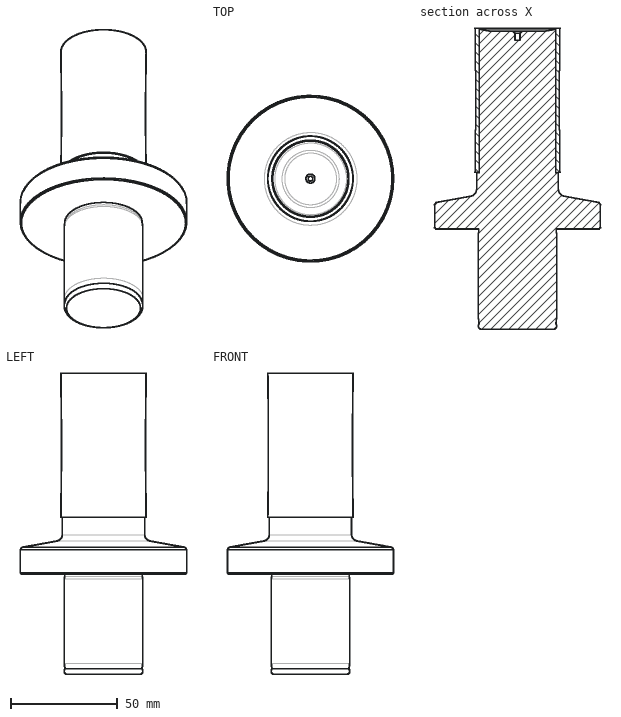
import cadquery as cq
import math

TOTAL_HEIGHT = 141.0

SHANK_RADIUS = 18.5
RELIEF_RADIUS = 18.2
RELIEF_HEIGHT = 1.1
RELIEF_TAPER = 1.1
LIP_HEIGHT = 2.5
LIP_BASE_RADIUS = 17.3
GROOVE_DEPTH = 0.4
GROOVE_TOP = 5.2

FLANGE_DIAMETER = 78.0
FLANGE_RADIUS = FLANGE_DIAMETER / 2
FLANGE_BOTTOM = 47.0
FLANGE_BOTTOM_CHAMFER = 0.5
FLANGE_EDGE = 58.4
FLANGE_TOP_CHAMFER = 0.8
CONE_BOTTOM = 59.5
CONE_TOP = 62.5
CONE_TOP_RADIUS = 21.7

NECK_RADIUS = 19.3
NECK_BOTTOM = 65.4
SPIGOT_RADIUS = 18.0

SLEEVE_BOTTOM = 73.5
SLEEVE_END_RADIUS = 20.0
SLEEVE_WAIST_RADIUS = 19.7

RIM_DEPTH = 0.4
RIM_RADIUS = 17.6
DISH_TOP_DEPTH = 0.7
DISH_TOP_RADIUS = 16.8
DISH_BOTTOM_DEPTH = 1.3
DISH_BOTTOM_RADIUS = 13.4
FLOOR_DEPTH = 1.4
FLOOR_RADIUS = 12.1

CENTRE_MOUTH_RADIUS = 2.1
CENTRE_HOLE_RADIUS = 1.1
CENTRE_HOLE_DEPTH = 4.2


def revolve_profile(profile):
    """Turn a closed (radius, Z) profile about the Z axis."""
    return profile.close().revolve(360, (0, 0, 0), (0, 1, 0))


def make_mandrel():
    """Shank, flange, neck and spigot in one turned body."""
    groove_radius = SHANK_RADIUS - GROOVE_DEPTH
    relief_bottom = FLANGE_BOTTOM - RELIEF_HEIGHT
    fillet_width = CONE_TOP_RADIUS - NECK_RADIUS
    fillet_height = NECK_BOTTOM - CONE_TOP
    fillet_radius = (fillet_width**2 + fillet_height**2) / (2 * fillet_width)
    half_angle = math.asin(fillet_height / fillet_radius) / 2
    fillet_middle = (
        NECK_RADIUS + fillet_radius * (1 - math.cos(half_angle)),
        NECK_BOTTOM - fillet_radius * math.sin(half_angle),
    )
    profile = (
        cq.Workplane("XZ")
        .lineTo(LIP_BASE_RADIUS, 0)
        .threePointArc((SHANK_RADIUS, LIP_HEIGHT / 2), (groove_radius, LIP_HEIGHT))
        .lineTo(SHANK_RADIUS, GROOVE_TOP)
        .lineTo(SHANK_RADIUS, relief_bottom - RELIEF_TAPER)
        .lineTo(RELIEF_RADIUS, relief_bottom)
        .lineTo(RELIEF_RADIUS, FLANGE_BOTTOM)
        .lineTo(FLANGE_RADIUS - FLANGE_BOTTOM_CHAMFER, FLANGE_BOTTOM)
        .lineTo(FLANGE_RADIUS, FLANGE_BOTTOM + FLANGE_BOTTOM_CHAMFER)
        .lineTo(FLANGE_RADIUS, FLANGE_EDGE)
        .lineTo(FLANGE_RADIUS - FLANGE_TOP_CHAMFER, CONE_BOTTOM)
        .lineTo(CONE_TOP_RADIUS, CONE_TOP)
        .threePointArc(fillet_middle, (NECK_RADIUS, NECK_BOTTOM))
        .lineTo(NECK_RADIUS, SLEEVE_BOTTOM)
        .lineTo(SPIGOT_RADIUS, SLEEVE_BOTTOM)
        .lineTo(SPIGOT_RADIUS, TOTAL_HEIGHT)
        .lineTo(RIM_RADIUS, TOTAL_HEIGHT - RIM_DEPTH)
        .lineTo(DISH_TOP_RADIUS, TOTAL_HEIGHT - DISH_TOP_DEPTH)
        .lineTo(DISH_BOTTOM_RADIUS, TOTAL_HEIGHT - DISH_BOTTOM_DEPTH)
        .lineTo(FLOOR_RADIUS, TOTAL_HEIGHT - FLOOR_DEPTH)
        .lineTo(0, TOTAL_HEIGHT - FLOOR_DEPTH)
    )
    return revolve_profile(profile).cut(make_centre_hole())


def make_centre_hole():
    """Countersunk blind hole with its mouth in the recess floor."""
    mouth = TOTAL_HEIGHT - FLOOR_DEPTH
    countersink_depth = CENTRE_MOUTH_RADIUS - CENTRE_HOLE_RADIUS
    bottom = mouth - CENTRE_HOLE_DEPTH
    profile = (
        cq.Workplane("XZ")
        .moveTo(0, mouth)
        .lineTo(CENTRE_MOUTH_RADIUS, mouth)
        .lineTo(CENTRE_HOLE_RADIUS, mouth - countersink_depth)
        .lineTo(CENTRE_HOLE_RADIUS, bottom)
        .lineTo(0, bottom)
    )
    return revolve_profile(profile)


def make_sleeve():
    """Thin waisted sleeve seated on the neck shoulder."""
    waist_z = (SLEEVE_BOTTOM + TOTAL_HEIGHT) / 2
    profile = (
        cq.Workplane("XZ")
        .moveTo(SPIGOT_RADIUS, SLEEVE_BOTTOM)
        .lineTo(SLEEVE_END_RADIUS, SLEEVE_BOTTOM)
        .threePointArc((SLEEVE_WAIST_RADIUS, waist_z), (SLEEVE_END_RADIUS, TOTAL_HEIGHT))
        .lineTo(SPIGOT_RADIUS, TOTAL_HEIGHT)
    )
    return revolve_profile(profile)


mandrel = make_mandrel()
sleeve = make_sleeve()
result = cq.Compound.makeCompound([mandrel.val(), sleeve.val()])